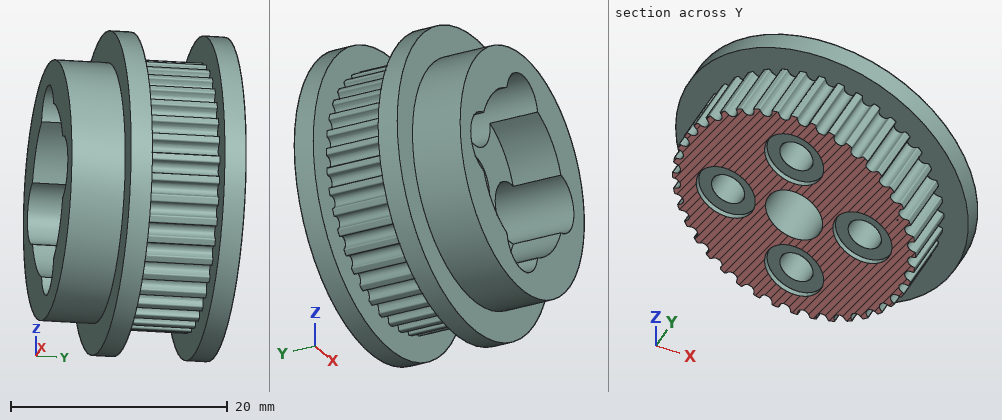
import cadquery as cq
import math

HUB_LENGTH = 5.0
FLANGE_THICKNESS = 2.0
BELT_WIDTH = 6.8

HUB_DIAMETER = 24.1
FLANGE_DIAMETER = 30.0

TOOTH_COUNT = 40
BELT_PITCH = 2.0
PITCH_LINE_OFFSET = 0.254
CUT_OVERLAP = 0.5

MOUTH_HALF_WIDTH = 0.747
LIP_MIDDLE_HALF_WIDTH = 0.648
LIP_MIDDLE_DEPTH = 0.037
LIP_END_HALF_WIDTH = 0.598
LIP_END_DEPTH = 0.131
FLANK_START_HALF_WIDTH = 0.579
FLANK_START_DEPTH = 0.238
FLANK_MIDDLE_HALF_WIDTH = 0.547
FLANK_MIDDLE_DEPTH = 0.343
FLANK_END_HALF_WIDTH = 0.452
FLANK_END_DEPTH = 0.540
GROOVE_DEPTH = 0.764

BORE_DIAMETER = 5.8
POCKET_DIAMETER = 16.1
POCKET_DEPTH = HUB_LENGTH
SCREW_COUNT = 4
SCREW_CIRCLE_RADIUS = 7.0
SCREW_DIAMETER = 3.4
COUNTERBORE_DIAMETER = 6.0
COUNTERBORE_DEPTH = 8.4

FRONT_FLANGE_Y = HUB_LENGTH
RIM_Y = FRONT_FLANGE_Y + FLANGE_THICKNESS
BACK_FLANGE_Y = RIM_Y + BELT_WIDTH
TOTAL_LENGTH = BACK_FLANGE_Y + FLANGE_THICKNESS

TOOTH_PITCH_ANGLE = 360.0 / TOOTH_COUNT
TIP_RADIUS = TOOTH_COUNT * BELT_PITCH / (2 * math.pi) - PITCH_LINE_OFFSET


def plane_at(y):
    """Sketch plane facing +Y, with its local axes along -X and +Z."""
    return cq.Workplane(cq.Plane(origin=(0, y, 0), xDir=(-1, 0, 0), normal=(0, 1, 0)))


def disc(diameter, y, length):
    return plane_at(y).circle(diameter / 2).extrude(length)


def groove_cutter():
    """One belt groove, opening towards +Z at the top of the rim."""

    mouth_z = math.sqrt(TIP_RADIUS**2 - MOUTH_HALF_WIDTH**2)

    def right(half_width, depth):
        return (half_width, mouth_z - depth)

    def left(half_width, depth):
        return (-half_width, mouth_z - depth)

    outside = (MOUTH_HALF_WIDTH, -CUT_OVERLAP)
    mouth = (MOUTH_HALF_WIDTH, 0)
    lip_middle = (LIP_MIDDLE_HALF_WIDTH, LIP_MIDDLE_DEPTH)
    lip_end = (LIP_END_HALF_WIDTH, LIP_END_DEPTH)
    flank_start = (FLANK_START_HALF_WIDTH, FLANK_START_DEPTH)
    flank_middle = (FLANK_MIDDLE_HALF_WIDTH, FLANK_MIDDLE_DEPTH)
    flank_end = (FLANK_END_HALF_WIDTH, FLANK_END_DEPTH)
    bottom = (0, mouth_z - GROOVE_DEPTH)
    return (
        plane_at(RIM_Y)
        .moveTo(*right(*outside))
        .lineTo(*right(*mouth))
        .threePointArc(right(*lip_middle), right(*lip_end))
        .lineTo(*right(*flank_start))
        .threePointArc(right(*flank_middle), right(*flank_end))
        .threePointArc(bottom, left(*flank_end))
        .threePointArc(left(*flank_middle), left(*flank_start))
        .lineTo(*left(*lip_end))
        .threePointArc(left(*lip_middle), left(*mouth))
        .lineTo(*left(*outside))
        .close()
        .extrude(BELT_WIDTH)
    )


def toothed_rim():
    rim = disc(2 * TIP_RADIUS, RIM_Y, BELT_WIDTH)
    cutter = groove_cutter()
    for index in range(TOOTH_COUNT):
        angle = (index + 0.5) * TOOTH_PITCH_ANGLE
        rim = rim.cut(cutter.rotate((0, 0, 0), (0, 1, 0), angle))
    return rim


def screw_hole_cutters():
    """Counterbored through holes, spaced evenly around the bore."""
    centres = plane_at(0).polarArray(SCREW_CIRCLE_RADIUS, 0, 360, SCREW_COUNT)
    holes = centres.circle(SCREW_DIAMETER / 2).extrude(TOTAL_LENGTH)
    counterbores = centres.circle(COUNTERBORE_DIAMETER / 2).extrude(COUNTERBORE_DEPTH)
    return holes.union(counterbores)


def pulley():
    body = disc(HUB_DIAMETER, 0, HUB_LENGTH)
    body = body.union(disc(FLANGE_DIAMETER, FRONT_FLANGE_Y, FLANGE_THICKNESS))
    body = body.union(toothed_rim())
    body = body.union(disc(FLANGE_DIAMETER, BACK_FLANGE_Y, FLANGE_THICKNESS))
    body = body.cut(disc(POCKET_DIAMETER, 0, POCKET_DEPTH))
    body = body.cut(disc(BORE_DIAMETER, 0, TOTAL_LENGTH))
    return body.cut(screw_hole_cutters())


result = pulley()